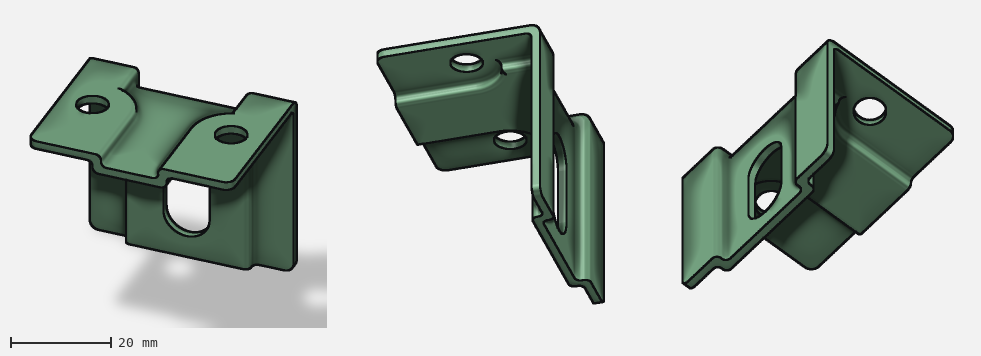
import cadquery as cq
import math

width = 44.0
depth = 34.5
height = 40.0
sheet = 1.8
corner_radius = 2.0
outer_bend_radius = 2.0
inner_bend_radius = 1.2

channel_depth = 2.7
wide_half_width = 11.65
narrow_half_width = 6.15
rim_radius = 1.2

hole_diameter = 6.5
hole_x = 14.95
hole_y = -17.45
slot_width = 10.0
slot_length = 22.25
slot_z = -23.95

tolerance = 0.005


def corner_block(inset, bend_radius):
    """Block filling the bracket's corner, set in from the top and back faces."""
    block = cq.Workplane("XY").box(width, depth - inset, height - inset)
    block = block.translate((0, -(depth + inset) / 2, -(height + inset) / 2))
    if bend_radius > 0:
        block = block.edges(">Y and >Z").fillet(bend_radius)
    return block


def channel_prism(wall_offset):
    """Full-height prism of the channel's plan, with its side walls moved outward by wall_offset.

    Each side curves around the nearby hole, from the wide back to the narrow front.
    """
    wide = wide_half_width + wall_offset
    narrow = narrow_half_width + wall_offset
    arc_radius = hole_x - narrow
    sweep = math.acos((hole_x - wide) / arc_radius)

    def arc_point(angle):
        return hole_x - arc_radius * math.cos(angle), hole_y + arc_radius * math.sin(angle)

    start_x, start_y = arc_point(sweep)
    middle_x, middle_y = arc_point(sweep / 2)
    return (
        cq.Workplane("XY")
        .moveTo(-wide, 0)
        .lineTo(wide, 0)
        .lineTo(start_x, start_y)
        .threePointArc((middle_x, middle_y), (narrow, hole_y))
        .lineTo(narrow, -depth)
        .lineTo(-narrow, -depth)
        .lineTo(-narrow, hole_y)
        .threePointArc((-middle_x, middle_y), (-start_x, start_y))
        .close()
        .extrude(-height)
    )


def is_rim(edge, channel_half_width):
    """True for the channel's upper and lower rims, but not for the end faces or the short wall corners."""
    box = edge.BoundingBox()
    runs_along_side = box.xmin * box.xmax > 0 and max(-box.xmin, box.xmax) < channel_half_width + tolerance
    on_end_face = box.ymax < -depth + tolerance or box.zmax < -height + tolerance
    wall_corner = abs(edge.Length() - channel_depth) < tolerance and box.zlen > channel_depth - tolerance
    return runs_along_side and not on_end_face and not wall_corner


def stepped_block(inset, bend_radius, channel_bend_radius, wall_offset):
    """Corner block with the channel pressed into it and the channel's rims rounded."""
    block = corner_block(inset, bend_radius)
    floor_block = corner_block(inset + channel_depth, channel_bend_radius)
    stepped = block.cut(channel_prism(wall_offset).cut(floor_block))
    half_width = wide_half_width + wall_offset
    rims = [edge for edge in stepped.edges().vals() if is_rim(edge, half_width)]
    return stepped.newObject(rims).fillet(rim_radius)


def mounting_holes():
    """Round holes through the top flange, one on each side of the channel."""
    return (
        cq.Workplane("XY")
        .pushPoints([(-hole_x, hole_y), (hole_x, hole_y)])
        .circle(hole_diameter / 2)
        .extrude(-height / 2)
    )


def back_slot():
    """Upright slot through the back flange."""
    return (
        cq.Workplane("XZ")
        .center(0, slot_z)
        .slot2D(slot_length, slot_width, 90)
        .extrude(depth / 2)
    )


outer_skin = stepped_block(0, outer_bend_radius, outer_bend_radius, 0)
inner_skin = stepped_block(sheet, inner_bend_radius, 0, sheet)
bracket = outer_skin.cut(inner_skin)

bracket = bracket.edges("|Z and (<X or >X)").edges("<Y").fillet(corner_radius)
bracket = bracket.edges("|Y and (<X or >X)").edges("<Z").fillet(corner_radius)

result = bracket.cut(mounting_holes()).cut(back_slot())